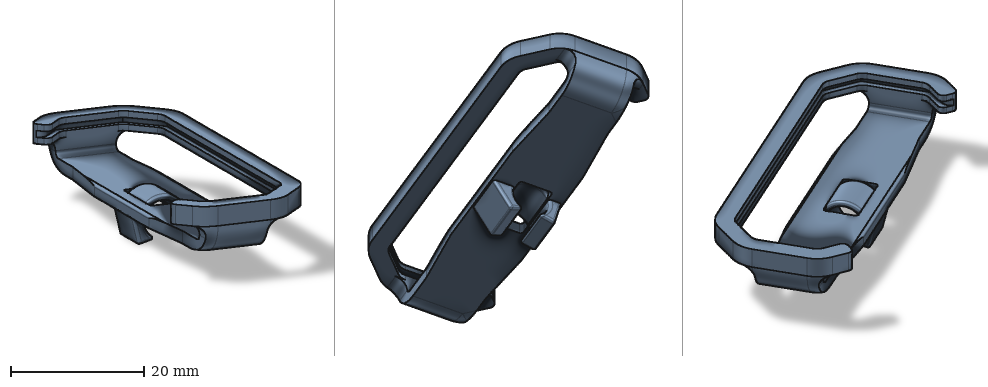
import cadquery as cq
import math

length = 58.7
frame_depth = 25.25
frame_center_y = 1.0
corner_cut = 6.2
wall = 3.0
frame_bottom = 4.9
frame_top = 8.0
inner_radius = 2.0
outer_radius = inner_radius + wall
tip_x = 25.25
tip_radius = 1.0

groove_depth = 1.0
groove_height = 1.05
mouth_radius = 1.45

plate_thickness = 2.0
strap_width = 10.0
plate_width = 12.0
taper_start_x = 10.05
taper_end_x = 20.1
plate_edge_radius = 0.495
bend_outer_radius = 4.95
bend_inner_radius = 1.0
flare_radius = 2.0

clip_width = 7.05
clip_y = -0.7
bore_z = -0.9
bore_radius = 3.0
saddle_wall = 1.0
saddle_radius = bore_radius + saddle_wall
slot_length = 10.05
slot_width = 5.5
slot_corner_radius = 0.5
clip_edge_radius = 0.495
foot_radius = 0.3
clip_root_z = plate_thickness / 2
leg_root_y = 5.75
back_foot_y = 2.75
back_foot_z = -4.5
back_foot_inner_z = -3.15
front_foot_y = -4.7
front_foot_z = -4.4
front_foot_inner_z = -3.4

half_length = length / 2
diagonal = math.sqrt(0.5)
frame_front_y = frame_center_y - frame_depth / 2


def octagon(inset, bottom, height):
    """Octagonal prism whose sides lie the given distance inside the frame's outer faces."""
    half_x = half_length - inset
    half_y = frame_depth / 2 - inset
    cut = corner_cut - inset * (2 - math.sqrt(2))
    points = [
        (half_x - cut, half_y),
        (half_x, half_y - cut),
        (half_x, cut - half_y),
        (half_x - cut, -half_y),
        (cut - half_x, -half_y),
        (-half_x, cut - half_y),
        (-half_x, half_y - cut),
        (cut - half_x, half_y),
    ]
    return (
        cq.Workplane("XY", origin=(0, frame_center_y, bottom))
        .polyline(points).close().extrude(height)
    )


tip_y = frame_front_y + corner_cut - (half_length - tip_x)
tip_inner_x = tip_x - wall * diagonal
tip_inner_y = tip_y + wall * diagonal


def front_opening(bottom, height):
    """Prism that removes the front side, its ends square to the diagonal arms."""
    margin = wall
    top_x = tip_inner_x - margin
    top_y = tip_inner_y + margin
    base_x = tip_x + margin
    base_y = tip_y - margin
    points = [(-top_x, top_y), (top_x, top_y), (base_x, base_y), (-base_x, base_y)]
    return cq.Workplane("XY", origin=(0, 0, bottom)).polyline(points).close().extrude(height)


def upright_edges(solid, x, y, z):
    """Select the mirrored pair of edges nearest to (+x, y, z) and (-x, y, z)."""
    right = cq.NearestToPointSelector((x, y, z))
    left = cq.NearestToPointSelector((-x, y, z))
    return solid.edges("|Z").edges(right + left)


def make_frame():
    height = frame_top - frame_bottom
    middle = (frame_top + frame_bottom) / 2
    outside = octagon(0, frame_bottom, height).edges("|Z").fillet(outer_radius)
    inside = octagon(wall, frame_bottom, height).edges("|Z").fillet(inner_radius)
    frame = outside.cut(inside).cut(front_opening(frame_bottom, height))
    frame = upright_edges(frame, tip_x, tip_y, middle).fillet(tip_radius)
    frame = upright_edges(frame, tip_inner_x, tip_inner_y, middle).fillet(tip_radius)

    groove_bottom = middle - groove_height / 2
    groove = octagon(wall - groove_depth, groove_bottom, groove_height)
    groove = groove.union(front_opening(groove_bottom, groove_height))
    mouth_x = tip_inner_x + groove_depth * diagonal
    mouth_y = tip_inner_y - groove_depth * diagonal
    groove = upright_edges(groove, mouth_x, mouth_y, middle).fillet(mouth_radius)
    return frame.cut(groove)


def make_strap():
    body = octagon(0, 0, frame_top).edges("|Z").fillet(outer_radius)
    body = body.faces("<Z").edges().fillet(bend_outer_radius)
    hollow = (
        cq.Workplane("XY", origin=(0, 0, plate_thickness))
        .box(length - 2 * wall, 2 * frame_depth, frame_top, centered=(True, True, False))
        .edges("|Y and <Z").fillet(bend_inner_radius)
    )
    body = body.cut(hollow)

    half_strap = strap_width / 2
    half_plate = plate_width / 2
    plan = (
        cq.Workplane("XY")
        .polyline([
            (half_length, half_strap),
            (taper_end_x, half_strap),
            (taper_start_x, half_plate),
            (-taper_start_x, half_plate),
            (-taper_end_x, half_strap),
            (-half_length, half_strap),
            (-half_length, -half_strap),
            (-taper_end_x, -half_strap),
            (-taper_start_x, -half_plate),
            (taper_start_x, -half_plate),
            (taper_end_x, -half_strap),
            (half_length, -half_strap),
        ])
        .close().extrude(plate_thickness)
    )
    rounded_plate = (
        cq.Workplane("XY").box(length, plate_width, plate_thickness, centered=(True, True, False))
        .edges("|X and >Z").fillet(plate_edge_radius)
    )

    half_flare = half_strap + flare_radius
    flare_start = frame_bottom - flare_radius
    flare_sag = flare_radius * (1 - diagonal)
    arms = (
        cq.Workplane("YZ")
        .moveTo(-half_strap, 0)
        .lineTo(half_strap, 0)
        .lineTo(half_strap, flare_start)
        .threePointArc((half_strap + flare_sag, frame_bottom - flare_sag), (half_flare, frame_bottom))
        .lineTo(-half_flare, frame_bottom)
        .threePointArc((-half_strap - flare_sag, frame_bottom - flare_sag), (-half_strap, flare_start))
        .close().extrude(half_length, both=True)
    )
    envelope = plan.intersect(rounded_plate).union(arms)
    strap = body.intersect(envelope)

    slot = (
        cq.Workplane("XY", origin=(0, clip_y, 0))
        .rect(slot_length, slot_width).extrude(plate_thickness)
        .edges("|Z").fillet(slot_corner_radius)
    )
    return strap.cut(slot)


def make_leg(root_y, foot_y, foot_z, inner_z):
    """Leg from a root inside the plate down to a foot that slopes up to the clip's middle."""
    points = [(clip_y, clip_root_z), (root_y, clip_root_z), (root_y, 0), (foot_y, foot_z), (clip_y, inner_z)]
    return cq.Workplane("YZ").polyline(points).close().extrude(clip_width / 2, both=True)


def cylinder_along_x(radius):
    return (
        cq.Workplane("YZ", origin=(0, clip_y, bore_z))
        .circle(radius).extrude(clip_width / 2, both=True)
    )


def make_clip():
    back_leg = make_leg(leg_root_y, back_foot_y, back_foot_z, back_foot_inner_z)
    front_leg = make_leg(-leg_root_y, front_foot_y, front_foot_z, front_foot_inner_z)
    above_root = (
        cq.Workplane("XY", origin=(0, clip_y, clip_root_z))
        .box(clip_width, 2 * saddle_radius, saddle_radius, centered=(True, True, False))
    )
    saddle = cylinder_along_x(saddle_radius).intersect(above_root)
    clip = saddle.union(back_leg).union(front_leg).cut(cylinder_along_x(bore_radius))
    feet = cq.selectors.BoxSelector(
        (-clip_width, -plate_width, 2 * back_foot_z),
        (clip_width, plate_width, bore_z - bore_radius / 2),
    )
    clip = clip.edges("|X").edges(feet).fillet(foot_radius)
    return clip.faces("<X or >X").edges().fillet(clip_edge_radius)


result = make_frame().union(make_strap()).union(make_clip())